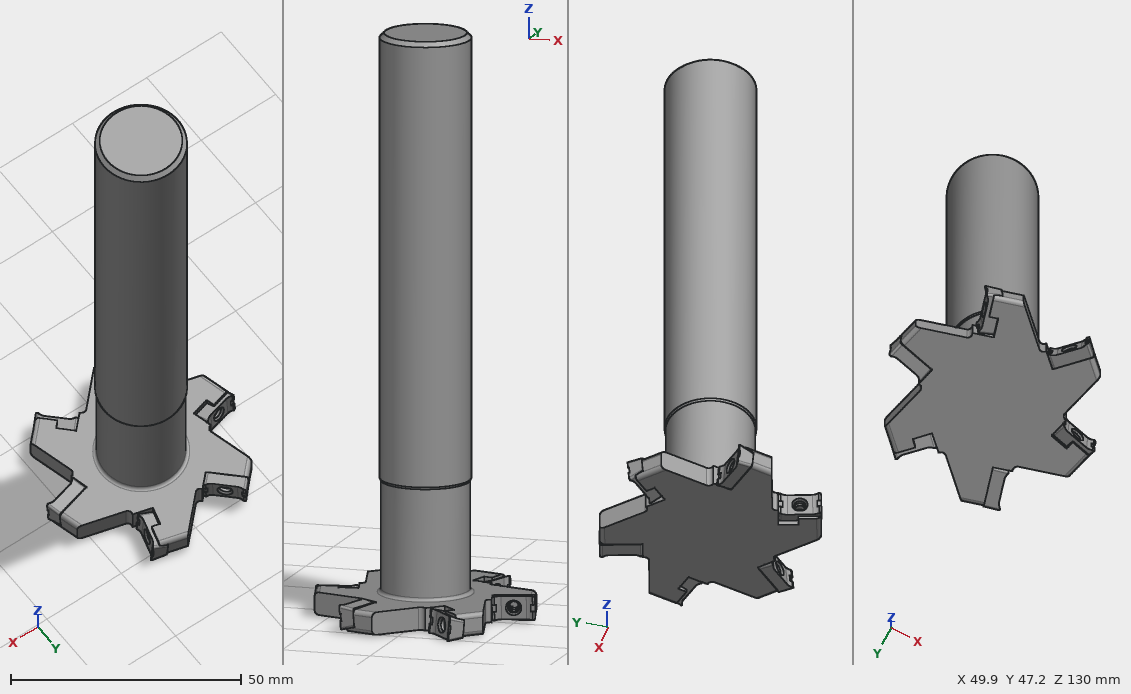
import cadquery as cq
import math

overall_length = 130.0
cutting_width = 6.4
disc_thickness = 5.1
mid_height = cutting_width / 2
disc_bottom = mid_height - disc_thickness / 2
disc_top = mid_height + disc_thickness / 2

shank_diameter = 20.0
neck_diameter = 19.5
neck_end = 30.5
shank_step_slope = 0.5
shank_end_chamfer = 1.0
neck_root_fillet = 0.8

tooth_count = 6
tooth_pitch = 360 / tooth_count
rake_angle = 15.0
tooth_tip = 24.0
rake_position = -6.9
gullet_floor = 13.4
roof_setback = 2.0
ledge_front = -7.7
gullet_fillet = 1.0
outer_edge_fillet = 1.0

insert_length = 9.4
insert_height = 5.5
insert_thickness = 3.5
insert_relief = 11.0
insert_tilt = 5.0
insert_dish = 1.0
insert_corner_radius = 0.5
end_lip_width = 0.5
end_ridge_width = 2.0
land_depth = 0.5
slope_sag = 0.75
notch_depth = 0.3
notch_height = 1.5
insert_start = tooth_tip - insert_length

hole_rim_diameter = 3.4
hole_mouth_diameter = 3.0
hole_diameter = 2.6
hole_seat_diameter = 2.0
hole_mouth_depth = 1.0
hole_step_depth = 1.8

window_length = 4.4
seat_top_position = rake_position + insert_thickness * math.cos(math.radians(insert_tilt)) \
    + insert_height * math.sin(math.radians(insert_tilt))


def frame_to_plan(u, v, tooth):
    """Turn a point of a tooth frame into X and Y."""
    angle = math.radians(tooth * tooth_pitch + rake_angle)
    return (u * math.cos(angle) - v * math.sin(angle), u * math.sin(angle) + v * math.cos(angle))


def place_in_tooth(shape, tooth):
    """Move a shape from the tooth frame to its tooth; even teeth cut on the upper side."""
    if tooth % 2 == 0:
        shape = shape.mirror("XY", (0, 0, mid_height))
    return shape.rotate((0, 0, 0), (0, 0, 1), tooth * tooth_pitch + rake_angle)


def insert_blank():
    """Plain insert in the tooth frame of a tooth that cuts on the lower side."""
    taper = insert_thickness * math.tan(math.radians(insert_relief))
    section = [
        (0, 0),
        (insert_thickness, taper),
        (insert_thickness, insert_height - taper),
        (0, insert_height),
    ]
    return cq.Workplane("YZ").polyline(section).close().extrude(insert_length)


def seat_insert(shape):
    """Tilt an insert shape by the axial rake and the dish, then bring its edge to the rake position."""
    tilted = shape.rotate((0, 0, 0), (1, 0, 0), -insert_tilt)
    tilted = tilted.rotate((insert_length, 0, 0), (insert_length, 1, 0), insert_dish)
    return tilted.translate((insert_start, rake_position, 0))


def chip_relief():
    """Hollow of the rake face: a flat land with a concave rise to the lip at each end."""
    rise_middle = (end_lip_width + end_ridge_width) / 2
    rise_depth = slope_sag * land_depth
    return (
        cq.Workplane("XY")
        .moveTo(end_lip_width, 0)
        .threePointArc((rise_middle, rise_depth), (end_ridge_width, land_depth))
        .lineTo(insert_length - end_ridge_width, land_depth)
        .threePointArc((insert_length - rise_middle, rise_depth), (insert_length - end_lip_width, 0))
        .close()
        .extrude(insert_height)
    )


def ridge_notch():
    """Gap that splits both end ridges at mid-height."""
    return cq.Workplane("XY").box(insert_length, notch_depth, notch_height, centered=False).translate(
        (0, 0, (insert_height - notch_height) / 2)
    )


def screw_hole():
    """Stepped screw hole, revolved about an axis normal to the rake face."""
    rim = hole_rim_diameter / 2
    mouth = hole_mouth_diameter / 2
    bore = hole_diameter / 2
    seat = hole_seat_diameter / 2
    cone_end = hole_step_depth + bore - seat
    profile = [
        (0, 0),
        (rim, 0),
        (rim, land_depth),
        (mouth, land_depth + rim - mouth),
        (bore, hole_mouth_depth),
        (bore, hole_step_depth),
        (seat, cone_end),
        (seat, insert_thickness),
        (0, insert_thickness),
    ]
    hole = cq.Workplane("XY").polyline(profile).close().revolve(360, (0, 0, 0), (0, 1, 0))
    return hole.translate((insert_length / 2, 0, insert_height / 2))


def make_insert(tooth):
    blank = insert_blank().edges("(not |X) and (not |Z)").fillet(insert_corner_radius)
    insert = blank.cut(chip_relief()).cut(ridge_notch()).cut(screw_hole())
    return place_in_tooth(seat_insert(insert), tooth)


def pocket(tooth):
    """Seat of one insert together with its clearance window."""
    window_width = seat_top_position - rake_position
    window = cq.Workplane("XY").box(window_length, window_width, disc_top - mid_height, centered=False)
    window = window.translate((insert_start, rake_position, mid_height))
    return place_in_tooth(seat_insert(insert_blank()).union(window), tooth)


def toothed_disc():
    roof_front = rake_position + roof_setback
    pitch = math.radians(tooth_pitch)
    back_corner = (gullet_floor - tooth_tip * math.cos(pitch)) / math.sin(pitch)
    wall_end = gullet_floor + gullet_fillet
    fillet_end = ledge_front - gullet_fillet
    fillet_inset = gullet_fillet * (1 - math.sqrt(0.5))
    outline = cq.Workplane("XY").workplane(offset=disc_bottom).moveTo(
        *frame_to_plan(gullet_floor, fillet_end, 0)
    )
    for tooth in range(tooth_count):
        outline = outline.threePointArc(
            frame_to_plan(gullet_floor + fillet_inset, ledge_front - fillet_inset, tooth),
            frame_to_plan(wall_end, ledge_front, tooth),
        )
        tooth_points = [
            (insert_start, ledge_front),
            (insert_start, roof_front),
            (tooth_tip, roof_front),
            (tooth_tip, back_corner),
        ]
        for u, v in tooth_points:
            outline = outline.lineTo(*frame_to_plan(u, v, tooth))
        if tooth < tooth_count - 1:
            outline = outline.lineTo(*frame_to_plan(gullet_floor, fillet_end, tooth + 1))
    disc = outline.close().extrude(disc_thickness)
    for tooth in range(tooth_count):
        outer_middle = frame_to_plan(tooth_tip, (roof_front + back_corner) / 2, tooth)
        for height in (disc_bottom, disc_top):
            edge = disc.edges(cq.selectors.NearestToPointSelector((*outer_middle, height)))
            disc = edge.fillet(outer_edge_fillet)
    return disc


def shank():
    neck = neck_diameter / 2
    grip = shank_diameter / 2
    root = neck + neck_root_fillet
    root_arc = neck_root_fillet * (1 - math.sqrt(0.5))
    profile = (
        cq.Workplane("XZ")
        .moveTo(0, mid_height)
        .lineTo(root, mid_height)
        .lineTo(root, disc_top)
        .threePointArc((neck + root_arc, disc_top + root_arc), (neck, disc_top + neck_root_fillet))
        .lineTo(neck, neck_end)
        .lineTo(grip, neck_end + shank_step_slope)
        .lineTo(grip, overall_length - shank_end_chamfer)
        .lineTo(grip - shank_end_chamfer, overall_length)
        .lineTo(0, overall_length)
        .close()
    )
    return profile.revolve(360, (0, 0, 0), (0, 1, 0))


def make_cutter_body():
    body = toothed_disc().union(shank())
    for tooth in range(tooth_count):
        body = body.cut(pocket(tooth))
    return body


cutter_body = make_cutter_body()
inserts = [make_insert(tooth) for tooth in range(tooth_count)]

result = cq.Compound.makeCompound([cutter_body.val(), *[insert.val() for insert in inserts]])